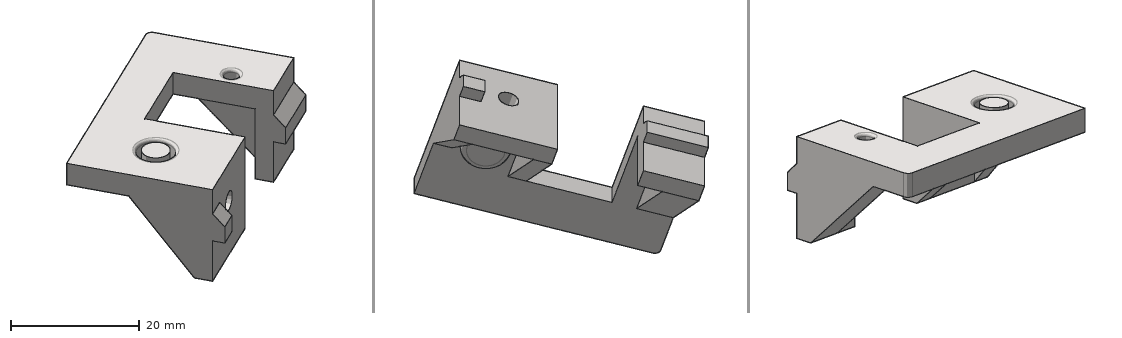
import cadquery as cq

plate_length = 24.0
plate_width = 40.0
plate_thickness = 4.0
corner_radius = 1.0

opening_start_x = 7.5
opening_start_y = 16.0
opening_end_y = 30.0

bracket_depth = 17.0
wall_thickness = 3.0
wall_inner_x = plate_length - wall_thickness
outer_gusset_start_x = 10.22
gusset_width = 3.0
far_gusset_width = 6.0

hook_reach = 2.0
hook_top = 4.5
hook_bottom = 9.5
near_hook_width = 3.5

rim_radius = 0.5
button_x = 12.0
button_y = 8.0
button_hole_radius = 3.1
pilot_x = 16.25
pilot_y = 32.5
pilot_radius = 1.25
pilot_depth = 3.0
wall_hole_radius = 1.65
wall_hole_depth = 7.0

stem_radius = 2.25
flange_radius = 4.0
flange_thickness = 1.0


def box(x_range, y_range, z_range):
    """Block between the given limits."""
    size = [end - start for start, end in (x_range, y_range, z_range)]
    corner = (x_range[0], y_range[0], z_range[0])
    return cq.Workplane("XY").box(*size, centered=False).translate(corner)


def side_profile(points, start_y, end_y):
    """Extrude an outline of (X, Z) points from start_y to end_y."""
    outline = cq.Workplane("XZ", origin=(0, start_y, 0)).polyline(points).close()
    return outline.extrude(start_y - end_y)


def make_plate():
    plate = box((0, plate_length), (0, plate_width), (-plate_thickness, 0))
    plate = plate.edges("|Z and <X and >Y").fillet(corner_radius)
    opening = box(
        (opening_start_x, plate_length),
        (opening_start_y, opening_end_y),
        (-plate_thickness, 0),
    )
    return plate.cut(opening)


def make_wall(start_y, end_y):
    return box((wall_inner_x, plate_length), (start_y, end_y), (-bracket_depth, 0))


def make_gusset(start_x, start_y, end_y):
    """Triangular web from the underside of the plate to the foot of the wall."""
    points = [
        (start_x, -plate_thickness),
        (wall_inner_x, -plate_thickness),
        (wall_inner_x, -bracket_depth),
    ]
    return side_profile(points, start_y, end_y)


def make_hook(start_y, end_y):
    """Hook with a 45 degree lead-in on top and a flat underside."""
    tip_x = plate_length + hook_reach
    points = [
        (plate_length, -hook_top),
        (tip_x, -hook_top - hook_reach),
        (tip_x, -hook_bottom),
        (plate_length, -hook_bottom),
    ]
    return side_profile(points, start_y, end_y)


def make_rounded_hole(x, y, radius, depth):
    """Cutter for a hole from the top face whose rim is rounded over."""
    flare_radius = radius + rim_radius
    profile = (
        cq.Workplane("XZ")
        .lineTo(flare_radius, 0)
        .radiusArc((radius, -rim_radius), -rim_radius)
        .lineTo(radius, -depth)
        .lineTo(0, -depth)
        .close()
    )
    return profile.revolve(360, (0, 0, 0), (0, 1, 0)).translate((x, y, 0))


def make_wall_hole():
    """Cutter for the round hole through the near wall."""
    circle = cq.Workplane("YZ", origin=(wall_inner_x, button_y, -wall_hole_depth))
    return circle.circle(wall_hole_radius).extrude(wall_thickness)


def make_bracket():
    bracket = make_plate()
    additions = [
        make_wall(0, opening_start_y),
        make_wall(opening_end_y, plate_width),
        make_gusset(outer_gusset_start_x, 0, gusset_width),
        make_gusset(opening_start_x, opening_start_y - gusset_width, opening_start_y),
        make_gusset(opening_start_x, plate_width - far_gusset_width, plate_width),
        make_hook(0, near_hook_width),
        make_hook(opening_end_y, plate_width),
    ]
    for addition in additions:
        bracket = bracket.union(addition)

    cutters = [
        make_rounded_hole(button_x, button_y, button_hole_radius, plate_thickness),
        make_rounded_hole(pilot_x, pilot_y, pilot_radius, pilot_depth),
        make_wall_hole(),
    ]
    for cutter in cutters:
        bracket = bracket.cut(cutter)
    return bracket


def make_button():
    """Stem flush with the plate top, on a flange under the plate with a fully rounded edge."""
    flange_bottom = -plate_thickness - flange_thickness
    profile = (
        cq.Workplane("XZ")
        .lineTo(stem_radius, 0)
        .lineTo(stem_radius, -plate_thickness)
        .lineTo(flange_radius, -plate_thickness)
        .radiusArc((flange_radius - flange_thickness, flange_bottom), flange_thickness)
        .lineTo(0, flange_bottom)
        .close()
    )
    return profile.revolve(360, (0, 0, 0), (0, 1, 0)).translate((button_x, button_y, 0))


bracket = make_bracket()
button = make_button()

result = cq.Compound.makeCompound([bracket.val(), button.val()])